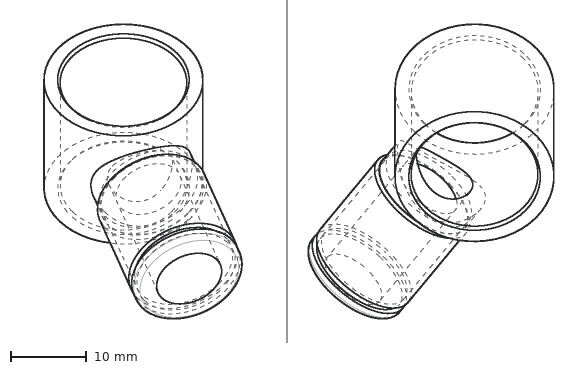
import cadquery as cq

ring_diameter = 21.0
ring_height = 20.0
ring_bore_diameter = 16.75
ring_bore_chamfer_width = 0.3
ring_bore_chamfer_depth = 0.5

overall_length = 39.0
neck_diameter = 14.0
socket_diameter = 15.1
socket_start = 12.0
socket_end = 25.97
socket_chamfer_length = 0.35
socket_chamfer_depth = 0.45
passage_diameter = 9.0

insert_diameter = 13.6
insert_start = 10.8
collar_diameter = 15.0
collar_start = 27.05
collar_fillet = 0.65

branch_height = ring_height / 2
insert_end = overall_length - ring_diameter / 2


def rod(diameter, start, end):
    """Horizontal cylinder on the branch axis, from x = start to x = end."""
    return (
        cq.Workplane("YZ", origin=(start, 0, branch_height))
        .circle(diameter / 2)
        .extrude(end - start)
    )


def make_socket():
    """Outer sleeve of the branch, bevelled where it meets the neck."""
    bevel_radius = socket_diameter / 2 - socket_chamfer_depth
    bevel_end = socket_start + socket_chamfer_length
    profile = [
        (socket_start, 0),
        (socket_start, bevel_radius),
        (bevel_end, socket_diameter / 2),
        (socket_end, socket_diameter / 2),
        (socket_end, 0),
    ]
    return (
        cq.Workplane("XZ", origin=(0, 0, branch_height))
        .polyline(profile)
        .close()
        .revolve(360, (0, 0, 0), (1, 0, 0))
    )


def make_mouth():
    """Cone that widens the lower end of the ring bore."""
    bore_radius = ring_bore_diameter / 2
    profile = [
        (0, 0),
        (bore_radius + ring_bore_chamfer_width, 0),
        (bore_radius, ring_bore_chamfer_depth),
        (0, ring_bore_chamfer_depth),
    ]
    return cq.Workplane("XZ").polyline(profile).close().revolve(360, (0, 0, 0), (0, 1, 0))


def make_housing():
    """Ring with its neck and socket, bored out for the passage and the insert."""
    ring = cq.Workplane("XY").circle(ring_diameter / 2).extrude(ring_height)
    body = ring.union(rod(neck_diameter, 0, socket_start)).union(make_socket())
    ring_bore = cq.Workplane("XY").circle(ring_bore_diameter / 2).extrude(ring_height)
    body = body.cut(ring_bore)
    body = body.cut(make_mouth()).cut(make_mouth().mirror("XY", (0, 0, branch_height)))
    passage = rod(passage_diameter, 0, insert_start)
    pocket = rod(insert_diameter, insert_start, socket_end)
    return body.cut(passage).cut(pocket)


def make_insert():
    """Tube with a rounded collar, its bore in line with the passage."""
    collar = rod(collar_diameter, collar_start, insert_end).edges(">X").fillet(collar_fillet)
    body = rod(insert_diameter, insert_start, collar_start).union(collar)
    return body.cut(rod(passage_diameter, insert_start, insert_end))


housing = make_housing()
insert = make_insert()
result = cq.Compound.makeCompound([housing.val(), insert.val()])